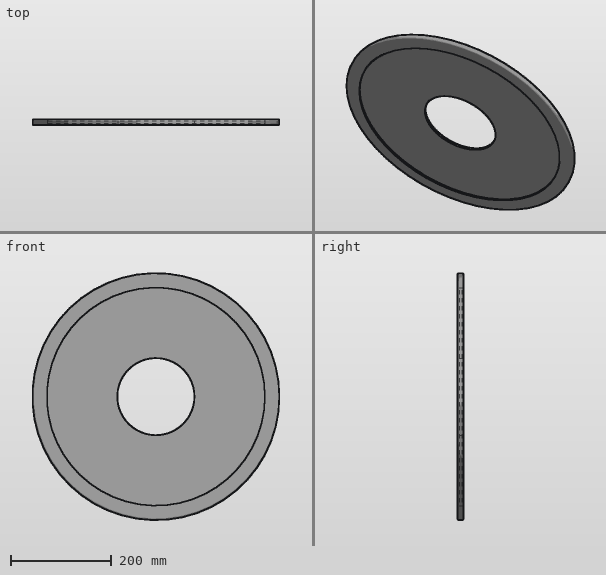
import cadquery as cq

rim_diameter = 490.0
rim_width = 12.5
rim_edge_radius = 3.7
plate_diameter = 432.5
plate_thickness = 5.0
bore_diameter = 152.5


def centred_ring(outer_diameter, inner_diameter, thickness):
    """Flat ring around Y, centred on the XZ plane."""
    return (
        cq.Workplane("XZ", origin=(0, thickness / 2, 0))
        .circle(outer_diameter / 2)
        .circle(inner_diameter / 2)
        .extrude(thickness)
    )


def make_rim():
    """Outer ring with both outer edges rounded."""
    ring = centred_ring(rim_diameter, plate_diameter, rim_width)
    outer_edges = cq.selectors.RadiusNthSelector(-1)
    return ring.edges("%CIRCLE").edges(outer_edges).fillet(rim_edge_radius)


def make_plate():
    """Thin disc filling the rim, recessed equally on both sides, with a central bore."""
    return centred_ring(plate_diameter, bore_diameter, plate_thickness)


rim = make_rim()
plate = make_plate()
result = cq.Compound.makeCompound([rim.val(), plate.val()])